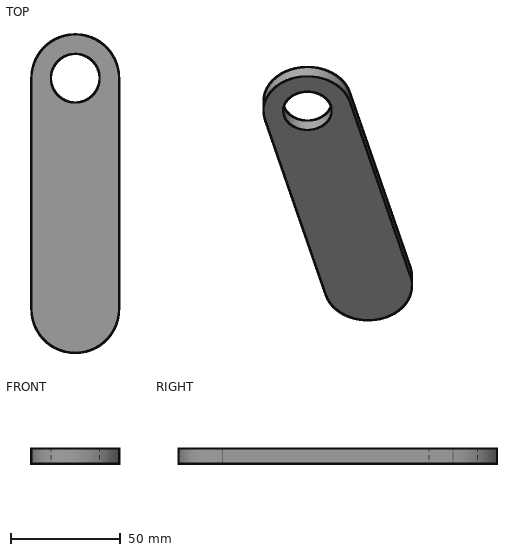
import cadquery as cq

length = 145.0
width = 40.0
thickness = 7.0
hole_diameter = 22.0

end_center_y = (length - width) / 2

bar = cq.Workplane("XY").slot2D(length, width, angle=90).extrude(thickness)

result = (
    bar.faces(">Z")
    .workplane(origin=(0, 0, thickness))
    .center(0, end_center_y)
    .hole(hole_diameter)
)